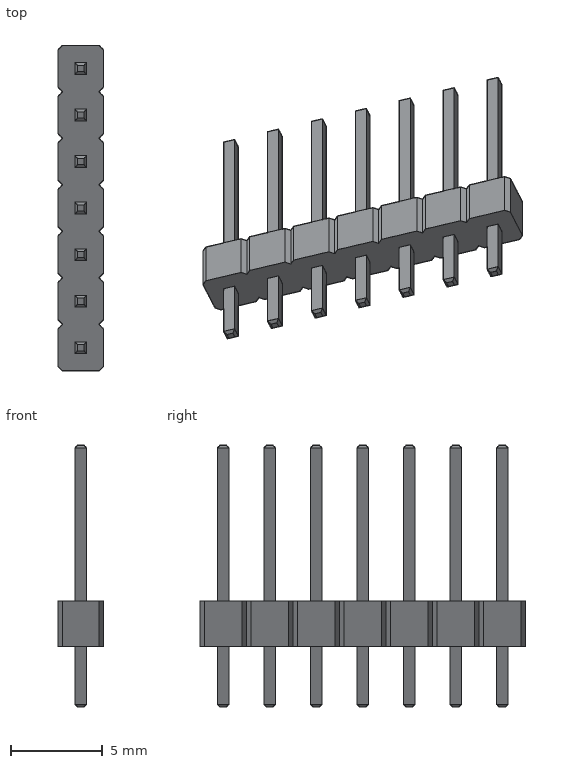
import cadquery as cq

pin_count = 7
pitch = 2.54

body_width = 2.5
body_height = 2.5
corner_cut = 0.25

pin_side = 0.64
pin_above_body = 8.5
pin_below_body = 3.3
pin_length = pin_below_body + body_height + pin_above_body
tip_chamfer = 0.15


def cell_center(index):
    """Y position of one cell, with the row centred on the origin."""
    return (index - (pin_count - 1) / 2) * pitch


def make_cell(y):
    """One octagonal body cell; neighbouring corner cuts form the V notches."""
    return (
        cq.Workplane("XY")
        .box(body_width, pitch, body_height, centered=(True, True, False))
        .edges("|Z")
        .chamfer(corner_cut)
        .translate((0, y, 0))
    )


def make_pin(y):
    """One square pin with tapered tips at both ends."""
    return (
        cq.Workplane("XY")
        .box(pin_side, pin_side, pin_length, centered=(True, True, False))
        .faces("<Z or >Z")
        .chamfer(tip_chamfer)
        .translate((0, y, -pin_below_body))
    )


result = make_cell(cell_center(0))
for index in range(1, pin_count):
    result = result.union(make_cell(cell_center(index)))
result = result.clean()
for index in range(pin_count):
    result = result.union(make_pin(cell_center(index)))